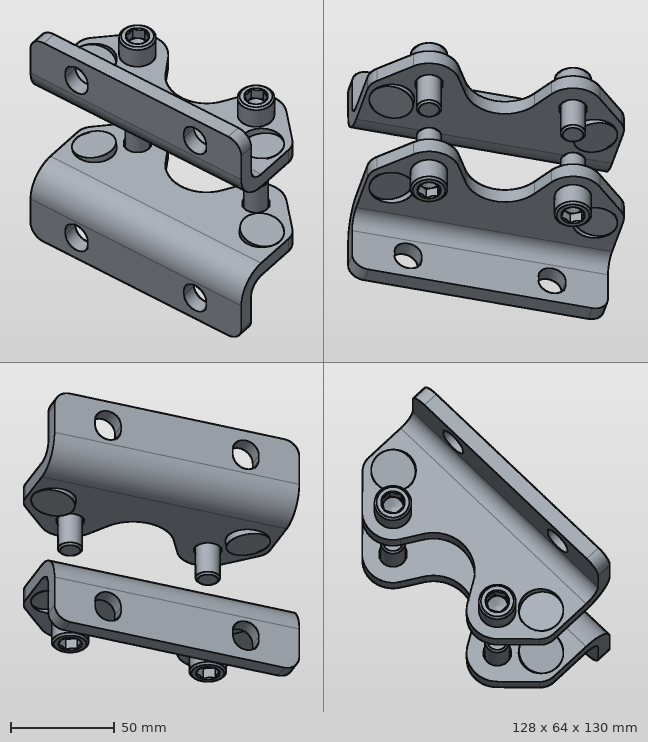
import cadquery as cq
import math


length = 128.0
depth = 64.0
total_height = 130.0
inner_gap = 50.0
thickness = 8.0
bend_inner_radius = 8.0
bend_outer_radius = bend_inner_radius + thickness
flange_corner_radius = 8.0
plate_bottom = inner_gap / 2
plate_top = plate_bottom + thickness
flange_top = total_height / 2
half_length = length / 2

lobe_radius = 15.0
lobe_x = 36.0
lobe_y = depth - lobe_radius
notch_radius = 20.0
notch_depth = 27.0
notch_y = depth - notch_depth + notch_radius
shoulder_radius = 10.0
shoulder_angle = math.radians(45)

clearance_diameter = 13.5
slot_height = 16.1
slot_x = lobe_x
slot_inset = 13.5
slot_z = flange_top - slot_inset

disc_diameter = 21.6
disc_x = 51.0
disc_inset = 30.0
disc_y = depth - disc_inset
disc_tilt = 9.5
disc_step = 0.06

shank_diameter = 12.0
shank_length = 25.0
shank_chamfer = 1.0
head_diameter = 18.0
head_height = 12.0
head_chamfer = 1.0
hex_across_flats = 10.0
hex_across_corners = hex_across_flats / math.cos(math.radians(30))
hex_depth = 6.0
socket_rim_chamfer = (hex_across_corners - hex_across_flats) / 2
socket_tip_depth = 2.9


def on_circle(center_x, center_y, radius, angle):
    """Point on a circle at an angle in radians."""
    return (center_x + radius * math.cos(angle), center_y + radius * math.sin(angle))


def mirrored_x(point):
    return (-point[0], point[1])


def angle_section():
    """L-shaped bent sheet, extruded over the full length."""
    bend_center_y = bend_outer_radius
    bend_center_z = plate_bottom + bend_outer_radius
    diagonal = math.radians(225)
    outer_mid = on_circle(bend_center_y, bend_center_z, bend_outer_radius, diagonal)
    inner_mid = on_circle(bend_center_y, bend_center_z, bend_inner_radius, diagonal)
    return (
        cq.Workplane("YZ")
        .moveTo(depth, plate_bottom)
        .lineTo(bend_center_y, plate_bottom)
        .threePointArc(outer_mid, (0, bend_center_z))
        .lineTo(0, flange_top)
        .lineTo(thickness, flange_top)
        .lineTo(thickness, bend_center_z)
        .threePointArc(inner_mid, (bend_center_y, plate_top))
        .lineTo(depth, plate_top)
        .close()
        .extrude(half_length, both=True)
    )


def plate_outline():
    """Two round lobes joined by a round notch, with sloping rounded shoulders, as a tall prism."""
    rise = lobe_y - notch_y
    center_distance = math.hypot(lobe_x, rise)
    notch_angle = math.acos((lobe_radius + notch_radius) / center_distance) + math.atan2(-rise, lobe_x)
    notch_bottom = (0, notch_y - notch_radius)
    notch_end = on_circle(0, notch_y, notch_radius, -notch_angle)
    lobe_inner = on_circle(lobe_x, lobe_y, lobe_radius, math.pi - notch_angle)
    lobe_mid = on_circle(lobe_x, lobe_y, lobe_radius, math.pi / 2)
    lobe_outer = on_circle(lobe_x, lobe_y, lobe_radius, shoulder_angle)

    end_drop = (half_length - lobe_outer[0]) / math.tan(shoulder_angle)
    corner_y = lobe_outer[1] - end_drop
    shoulder_x = half_length - shoulder_radius
    shoulder_y = corner_y - shoulder_radius * math.tan(shoulder_angle / 2)
    shoulder_start = on_circle(shoulder_x, shoulder_y, shoulder_radius, shoulder_angle)
    shoulder_mid = on_circle(shoulder_x, shoulder_y, shoulder_radius, shoulder_angle / 2)
    shoulder_end = (half_length, shoulder_y)

    return (
        cq.Workplane("XY")
        .moveTo(*mirrored_x(notch_end))
        .threePointArc(notch_bottom, notch_end)
        .lineTo(*lobe_inner)
        .threePointArc(lobe_mid, lobe_outer)
        .lineTo(*shoulder_start)
        .threePointArc(shoulder_mid, shoulder_end)
        .lineTo(half_length, 0)
        .lineTo(-half_length, 0)
        .lineTo(*mirrored_x(shoulder_end))
        .threePointArc(mirrored_x(shoulder_mid), mirrored_x(shoulder_start))
        .lineTo(*mirrored_x(lobe_outer))
        .threePointArc(mirrored_x(lobe_mid), mirrored_x(lobe_inner))
        .close()
        .extrude(flange_top)
    )


def tilted_disc(side, plate_face):
    """Disc whose lower face starts just under a plate face and slopes down towards the middle.

    The disc occupies half a sheet thickness above that sloping face.
    """
    radius = disc_diameter / 2
    disc_bottom = plate_face - disc_step
    hinge = (side * (disc_x + radius), disc_y, disc_bottom)
    hinge_end = (hinge[0], disc_y + 1.3, disc_bottom)
    disc = (
        cq.Workplane("XY")
        .center(side * disc_x, disc_y)
        .circle(radius)
        .extrude(thickness / 2)
        .translate((0, 0, disc_bottom))
    )
    return disc.rotate(hinge, hinge_end, -side * disc_tilt)


def make_bracket():
    bracket = angle_section().intersect(plate_outline())
    bracket = bracket.edges("|Y").edges(">Z").fillet(flange_corner_radius)

    screw_holes = (
        cq.Workplane("XY")
        .workplane(offset=plate_bottom)
        .pushPoints([(-lobe_x, lobe_y), (lobe_x, lobe_y)])
        .circle(clearance_diameter / 2)
        .extrude(thickness)
    )
    slots = (
        cq.Workplane("XZ")
        .pushPoints([(-slot_x, slot_z), (slot_x, slot_z)])
        .slot2D(slot_height, clearance_diameter, 90)
        .extrude(-thickness)
    )
    bracket = bracket.cut(screw_holes).cut(slots)

    for side in (-1, 1):
        bracket = bracket.cut(tilted_disc(side, plate_top))
        bracket = bracket.union(tilted_disc(side, plate_bottom))
    return bracket


def make_screw(x):
    """Socket head screw seated on the plate, pointing towards the mirror plane."""
    head_top = plate_top + head_height
    shank = (
        cq.Workplane("XY")
        .workplane(offset=plate_top - shank_length)
        .circle(shank_diameter / 2)
        .extrude(shank_length)
        .faces("<Z")
        .chamfer(shank_chamfer)
    )
    head = (
        cq.Workplane("XY")
        .workplane(offset=plate_top)
        .circle(head_diameter / 2)
        .extrude(head_height)
        .faces(">Z")
        .chamfer(head_chamfer)
    )
    hexagon = (
        cq.Workplane("XY")
        .workplane(offset=head_top)
        .transformed(rotate=(0, 0, 90))
        .polygon(6, hex_across_corners)
        .extrude(-hex_depth)
    )
    down = cq.Vector(0, 0, -1)
    tip = cq.Solid.makeCone(
        hex_across_flats / 2, 0, socket_tip_depth, cq.Vector(0, 0, head_top - hex_depth), down
    )
    rim = cq.Solid.makeCone(
        hex_across_corners / 2, hex_across_flats / 2, socket_rim_chamfer, cq.Vector(0, 0, head_top), down
    )
    screw = shank.union(head).cut(hexagon).cut(cq.Workplane(tip)).cut(cq.Workplane(rim))
    return screw.translate((x, lobe_y, 0))


upper_bracket = make_bracket()
upper_screws = [make_screw(x) for x in (-lobe_x, lobe_x)]

bodies = []
for upper_body in [upper_bracket, *upper_screws]:
    lower_body = upper_body.mirror("XY")
    bodies += [upper_body.solids().val(), lower_body.solids().val()]

result = cq.Compound.makeCompound(bodies)